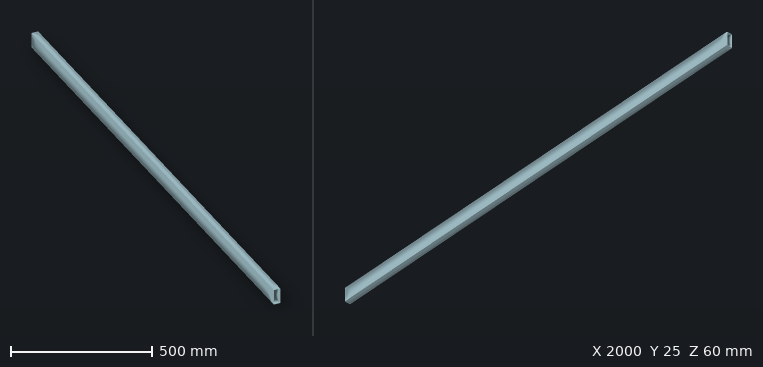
import cadquery as cq

length = 2000.0
width = 25.0
height = 60.0
wall = 1.3

bore_width = width - 2 * wall
bore_height = height - 2 * wall

outer_bar = cq.Workplane("XY").box(length, width, height)
bore = cq.Workplane("XY").box(length, bore_width, bore_height)

result = outer_bar.cut(bore)